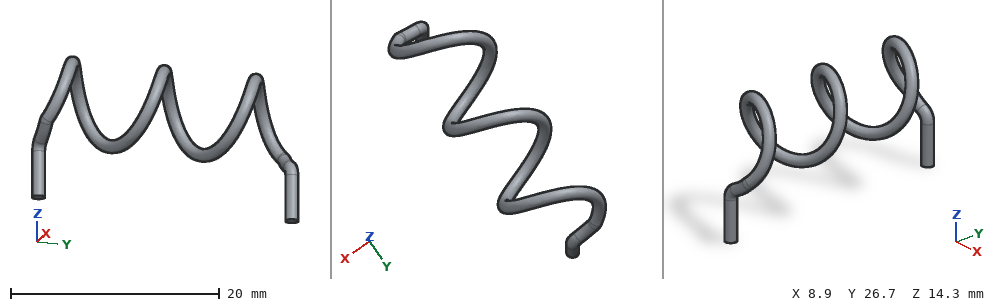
import cadquery as cq
import math

wire_diameter = 1.25
overall_length = 26.65
coil_outer_diameter = 8.9
overall_height = 14.25
pitch = 9.2
coil_sweep = math.radians(990)
leg_length = 4.5
leg_bend_radius = 1.25

wire_radius = wire_diameter / 2
coil_radius = (coil_outer_diameter - wire_diameter) / 2
leg_y = (overall_length - wire_diameter) / 2
leg_bottom_z = coil_outer_diameter / 2 - overall_height
leg_top_z = leg_bottom_z + leg_length
coil_length = pitch * coil_sweep / (2 * math.pi)
lead_angle = math.atan2(pitch, 2 * math.pi * coil_radius)

start_angle = (math.pi - coil_sweep) / 2

radial = cq.Vector(math.cos(start_angle), 0, math.sin(start_angle))
tangent = cq.Vector(-math.sin(start_angle), 0, math.cos(start_angle))
y_axis = cq.Vector(0, 1, 0)


def make_coil():
    """Left-handed wire coil running along +Y between the two legs."""
    helix = cq.Wire.makeHelix(pitch, coil_length, coil_radius, lefthand=True)
    section = cq.Workplane(
        cq.Plane(
            origin=(coil_radius, 0, 0),
            xDir=(1, 0, 0),
            normal=(0, -math.cos(lead_angle), math.sin(lead_angle)),
        )
    ).circle(wire_radius)
    coil = section.sweep(cq.Workplane(obj=helix), isFrenet=True)
    coil = coil.rotate((0, 0, 0), (1, 0, 0), -90)
    coil = coil.rotate((0, 0, 0), (0, 1, 0), -math.degrees(start_angle))
    return coil.translate((0, -coil_length / 2, 0))


def make_end():
    """Front end of the wire: vertical leg, bend, curved arm and the turn into the coil."""
    coil_start = radial * coil_radius - y_axis * (coil_length / 2)

    turn_radius = (leg_y - coil_length / 2) / (1 - math.cos(lead_angle))
    turn_center = coil_start + y_axis * (turn_radius * math.cos(lead_angle))
    turn_center -= tangent * (turn_radius * math.sin(lead_angle))
    half_lead = lead_angle / 2
    turn_middle = turn_center + tangent * (turn_radius * math.sin(half_lead))
    turn_middle -= y_axis * (turn_radius * math.cos(half_lead))
    arm_end = turn_center - y_axis * turn_radius

    bend_center = cq.Vector(leg_bend_radius, -leg_y, leg_top_z)
    offset = arm_end - bend_center
    arm_radius = (offset.dot(offset) - leg_bend_radius**2) / (2 * (leg_bend_radius + offset.dot(radial)))
    arm_center = arm_end - radial * arm_radius
    to_bend = (bend_center - arm_center).normalized()
    bend_end = arm_center + to_bend * arm_radius
    arm_middle = arm_center + (to_bend + radial).normalized() * arm_radius
    leg_side = cq.Vector(-1, 0, 0)
    bend_middle = bend_center + (leg_side - to_bend).normalized() * leg_bend_radius

    leg_bottom = cq.Vector(0, -leg_y, leg_bottom_z)
    leg_top = cq.Vector(0, -leg_y, leg_top_z)
    path = cq.Wire.assembleEdges([
        cq.Edge.makeLine(leg_bottom, leg_top),
        cq.Edge.makeThreePointArc(leg_top, bend_middle, bend_end),
        cq.Edge.makeThreePointArc(bend_end, arm_middle, arm_end),
        cq.Edge.makeThreePointArc(arm_end, turn_middle, coil_start),
    ])
    section = cq.Workplane("XY", origin=leg_bottom.toTuple()).circle(wire_radius)
    return section.sweep(cq.Workplane(obj=path))


front_end = make_end()
back_end = front_end.rotate((0, 0, 0), (0, 0, 1), 180)
result = make_coil().union(front_end).union(back_end)